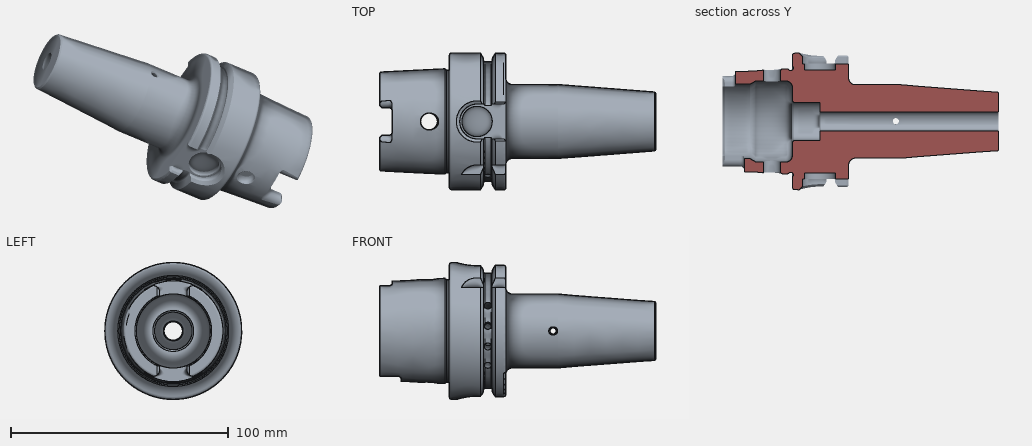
import cadquery as cq
import math

length = 127.0

flange_start = 32.0
taper_end = 30.0
taper_big_radius = 24.3
taper_slope = 0.05
taper_small_radius = taper_big_radius - taper_slope * taper_end
end_fillet = 1.0

neck_radius = 23.6
neck_start = 30.7
relief_depth = 0.4
relief_fillet = 0.8
relief_inner_radius = 24.9
relief_outer_radius = 25.5

flange_end = 58.0
flange_radius = 31.5
flange_front_fillet = 1.3
flange_back_fillet = 1.0
groove_center = 49.8
groove_rim_half_width = 3.4
groove_wall_half_width = 1.9
groove_floor_radius = 27.5
groove_fillet = 0.5
groove_wall_angle = 30.0
groove_wall_radius = flange_radius - (
    (groove_rim_half_width - groove_wall_half_width) / math.tan(math.radians(groove_wall_angle))
)

chuck_radius = 17.0
chuck_fillet = 2.9
chuck_cone_start = 82.0
chuck_end_radius = 13.6
chuck_end_chamfer = 0.6

bore_radius = 17.0
bore_mouth_flare = 0.6
bore_mouth_depth = 1.3
bore_straight_depth = 12.7
clamp_groove_radius = 18.5
clamp_groove_angle = 30.0
bore_bottom_radius = 15.6
bore_depth = flange_start
thread_radius = 8.6
thread_chamfer = 0.8
thread_depth = 12.7
coolant_radius = 4.2
coolant_chamfer = 0.4

drive_half_width = 6.2
drive_shoulder_height = 20.8
drive_shoulder_half_width = 11.4
drive_shoulder_fillet = 3.0
drive_floor_fillet = 1.4
drive_chamfer = 1.1
top_drive_depth = 5.8
bottom_drive_depth = 9.9

key_radius = 8.0
key_center = 44.8
key_floor_height = 26.5
key_front_chamfer = 1.5
key_back_chamfer = 0.9
key_hole_radius = 7.0
key_hole_depth = 2.8
notch_offset = 20.0

clamp_hole_center = 22.7
clamp_hole_radius = 3.8
clamp_hole_sink = 0.4
side_hole_center = 79.8
side_hole_radius = 1.4
side_hole_sink = 0.6
balance_hole_radius = 1.7
balance_hole_depth = 7.6
balance_tip_angle = 59.0
first_balance_angle = -35.0
balance_angle_step = 20.0
balance_hole_count = 4

arc_offset = 1 - math.sqrt(0.5)


def revolved(profile):
    """Turn a closed (X, radius) profile around the X axis."""
    return profile.close().revolve(360, (0, 0, 0), (1, 0, 0))


def outer_body():
    wall_left = groove_center - groove_wall_half_width
    wall_right = groove_center + groove_wall_half_width
    fillet_top = groove_floor_radius + groove_fillet
    relief_floor = flange_start + relief_depth
    end_arc = end_fillet * arc_offset
    relief_arc = relief_fillet * arc_offset
    groove_arc = groove_fillet * arc_offset
    front_arc = flange_front_fillet * arc_offset
    back_arc = flange_back_fillet * arc_offset
    chuck_arc = chuck_fillet * arc_offset
    profile = (
        cq.Workplane("XY")
        .moveTo(0, 0)
        .lineTo(0, taper_small_radius - end_fillet)
        .threePointArc(
            (end_arc, taper_small_radius - end_arc),
            (end_fillet, taper_small_radius + taper_slope * end_fillet),
        )
        .lineTo(taper_end, taper_big_radius)
        .lineTo(neck_start, neck_radius)
        .lineTo(relief_floor - relief_fillet, neck_radius)
        .threePointArc(
            (relief_floor - relief_arc, neck_radius + relief_arc),
            (relief_floor, neck_radius + relief_fillet),
        )
        .lineTo(relief_floor, relief_inner_radius)
        .lineTo(flange_start, relief_outer_radius)
        .lineTo(flange_start, flange_radius - flange_front_fillet)
        .threePointArc(
            (flange_start + front_arc, flange_radius - front_arc),
            (flange_start + flange_front_fillet, flange_radius),
        )
        .lineTo(groove_center - groove_rim_half_width, flange_radius)
        .lineTo(wall_left, groove_wall_radius)
        .lineTo(wall_left, fillet_top)
        .threePointArc(
            (wall_left + groove_arc, groove_floor_radius + groove_arc),
            (wall_left + groove_fillet, groove_floor_radius),
        )
        .lineTo(wall_right - groove_fillet, groove_floor_radius)
        .threePointArc(
            (wall_right - groove_arc, groove_floor_radius + groove_arc),
            (wall_right, fillet_top),
        )
        .lineTo(wall_right, groove_wall_radius)
        .lineTo(groove_center + groove_rim_half_width, flange_radius)
        .lineTo(flange_end - flange_back_fillet, flange_radius)
        .threePointArc(
            (flange_end - back_arc, flange_radius - back_arc),
            (flange_end, flange_radius - flange_back_fillet),
        )
        .lineTo(flange_end, chuck_radius + chuck_fillet)
        .threePointArc(
            (flange_end + chuck_arc, chuck_radius + chuck_arc),
            (flange_end + chuck_fillet, chuck_radius),
        )
        .lineTo(chuck_cone_start, chuck_radius)
        .lineTo(length - chuck_end_chamfer, chuck_end_radius)
        .lineTo(length, chuck_end_radius - chuck_end_chamfer)
        .lineTo(length, 0)
    )
    return revolved(profile)


def inner_bore():
    groove_height = clamp_groove_radius - bore_radius
    groove_start = bore_straight_depth + groove_height / math.tan(math.radians(clamp_groove_angle))
    bottom_fillet = clamp_groove_radius - bore_bottom_radius
    bottom_arc = bottom_fillet * arc_offset
    thread_end = bore_depth + thread_depth
    profile = (
        cq.Workplane("XY")
        .moveTo(0, 0)
        .lineTo(0, bore_radius + bore_mouth_flare)
        .lineTo(bore_mouth_depth, bore_radius)
        .lineTo(bore_straight_depth, bore_radius)
        .lineTo(groove_start, clamp_groove_radius)
        .lineTo(bore_depth - bottom_fillet, clamp_groove_radius)
        .threePointArc(
            (bore_depth - bottom_arc, clamp_groove_radius - bottom_arc),
            (bore_depth, bore_bottom_radius),
        )
        .lineTo(bore_depth, thread_radius + thread_chamfer)
        .lineTo(bore_depth + thread_chamfer, thread_radius)
        .lineTo(thread_end, thread_radius)
        .lineTo(thread_end, coolant_radius + coolant_chamfer)
        .lineTo(thread_end + coolant_chamfer, coolant_radius)
        .lineTo(length, coolant_radius)
        .lineTo(length, 0)
    )
    return revolved(profile)


def drive_slot(depth):
    """Stepped slot on the +Z side of the shank end, with a rounded floor edge and a flared mouth."""
    slot_top = taper_big_radius + 1.3
    wall_top = drive_shoulder_height - drive_shoulder_fillet
    arc = drive_shoulder_fillet * arc_offset
    slot = (
        cq.Workplane("YZ")
        .moveTo(-drive_half_width, 0)
        .lineTo(-drive_half_width, wall_top)
        .threePointArc(
            (-drive_half_width - arc, drive_shoulder_height - arc),
            (-drive_half_width - drive_shoulder_fillet, drive_shoulder_height),
        )
        .lineTo(-drive_shoulder_half_width, drive_shoulder_height)
        .lineTo(-drive_shoulder_half_width, slot_top)
        .lineTo(drive_shoulder_half_width, slot_top)
        .lineTo(drive_shoulder_half_width, drive_shoulder_height)
        .lineTo(drive_half_width + drive_shoulder_fillet, drive_shoulder_height)
        .threePointArc(
            (drive_half_width + arc, drive_shoulder_height - arc),
            (drive_half_width, wall_top),
        )
        .lineTo(drive_half_width, 0)
        .close()
        .extrude(depth)
        .faces(">X")
        .edges()
        .fillet(drive_floor_fillet)
    )
    mouth = (
        cq.Workplane("XY")
        .moveTo(0, -drive_half_width - drive_chamfer)
        .lineTo(drive_chamfer, -drive_half_width)
        .lineTo(drive_chamfer, drive_half_width)
        .lineTo(0, drive_half_width + drive_chamfer)
        .close()
        .extrude(drive_shoulder_height)
    )
    return slot.union(mouth)


def flat_slot(center_y, floor_height):
    """Flat-floored slot cut down from +Z, open toward the back of the flange, with a half-round front end."""
    slot_length = flange_end + 1.3 - key_center
    return (
        cq.Workplane("XY", origin=(key_center, center_y, floor_height))
        .moveTo(slot_length, key_radius)
        .lineTo(0, key_radius)
        .threePointArc((-key_radius, 0), (0, -key_radius))
        .lineTo(slot_length, -key_radius)
        .close()
        .extrude(flange_radius + 1.3 - floor_height)
    )


def slot_rim(side, start, end):
    """Select the key slot edges lying on the flange rim between two X places."""
    low = (start, -key_radius - 0.6, side * (key_floor_height + 2.5))
    high = (end, key_radius + 0.6, side * (flange_radius + 1.3))
    return cq.selectors.BoxSelector(low, high)


def cut_key_slots(body):
    slot = flat_slot(0, key_floor_height)
    body = body.cut(slot).cut(slot.rotate((0, 0, 0), (1, 0, 0), 180))
    rim_left = groove_center - groove_rim_half_width
    rim_right = groove_center + groove_rim_half_width
    for side in (1, -1):
        front_rim = slot_rim(side, flange_start, rim_left - 0.1)
        body = body.edges(front_rim).chamfer(key_front_chamfer)
        back_rim = slot_rim(side, rim_right + 0.1, flange_end - flange_back_fillet)
        body = body.edges(back_rim).chamfer(key_back_chamfer)
    hole = (
        cq.Workplane("XY", origin=(key_center, 0, key_floor_height - key_hole_depth))
        .circle(key_hole_radius)
        .extrude(key_hole_depth)
    )
    return body.cut(hole).cut(hole.rotate((0, 0, 0), (1, 0, 0), 180))


def side_hole():
    """Hole through the chuck along Y, countersunk at both surfaces."""
    overshoot = 0.6
    hole = cq.Workplane("XY").circle(side_hole_radius).extrude(flange_radius, both=True)
    sink_height = side_hole_sink + overshoot
    cone = cq.Solid.makeCone(side_hole_radius, side_hole_radius + sink_height, sink_height)
    cone = cq.Workplane(cone.translate(cq.Vector(0, 0, chuck_radius - side_hole_sink)))
    hole = hole.union(cone).union(cone.rotate((0, 0, 0), (1, 0, 0), 180))
    return hole.rotate((0, 0, 0), (1, 0, 0), 90).translate((side_hole_center, 0, 0))


def cut_clamp_holes(body):
    """Drill the clamping hole through both shank walls, one wall at a time, and countersink it."""
    surface_radius = taper_small_radius + taper_slope * clamp_hole_center
    overshoot = 0.6
    sink_height = clamp_hole_sink + overshoot
    drill = cq.Solid.makeCylinder(clamp_hole_radius, flange_radius)
    cone = cq.Solid.makeCone(clamp_hole_radius, clamp_hole_radius + sink_height, sink_height)
    cone = cone.translate(cq.Vector(0, 0, surface_radius - clamp_hole_sink))
    for tool in (drill, cone):
        cutter = cq.Workplane(tool.rotate(cq.Vector(0, 0, 0), cq.Vector(0, 0, 1), 45))
        cutter = cutter.translate((clamp_hole_center, 0, 0))
        body = body.cut(cutter).cut(cutter.rotate((0, 0, 0), (1, 0, 0), 180))
    return body


def balance_holes():
    """Blind radial holes with drill tips in the groove floor, spread along the -Y side."""
    mouth = -groove_floor_radius - groove_fillet
    floor = balance_hole_depth - groove_floor_radius
    tip = floor + balance_hole_radius / math.tan(math.radians(balance_tip_angle))
    drill = (
        cq.Workplane("XY")
        .moveTo(0, mouth)
        .lineTo(balance_hole_radius, mouth)
        .lineTo(balance_hole_radius, floor)
        .lineTo(0, tip)
        .close()
        .revolve(360, (0, 0, 0), (0, 1, 0))
        .translate((groove_center, 0, 0))
    )
    holes = cq.Workplane("XY")
    for index in range(balance_hole_count):
        angle = first_balance_angle + index * balance_angle_step
        holes = holes.add(drill.rotate((0, 0, 0), (1, 0, 0), -angle))
    return holes.combine()


body = cut_key_slots(outer_body())
body = body.cut(flat_slot(-notch_offset - key_radius, notch_offset))
body = body.cut(balance_holes())
body = body.cut(side_hole())
body = body.cut(inner_bore())
body = cut_clamp_holes(body)
body = body.cut(drive_slot(top_drive_depth))
body = body.cut(drive_slot(bottom_drive_depth).rotate((0, 0, 0), (1, 0, 0), 180))
result = body